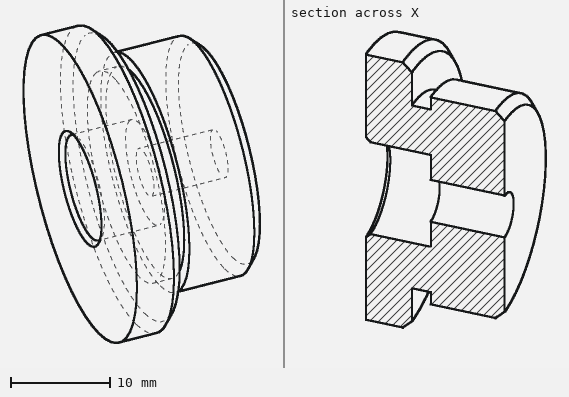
import cadquery as cq

flange_diameter = 32.0
flange_thickness = 5.0
neck_diameter = 22.08
neck_length = 2.0
body_diameter = 25.0
body_length = 8.0
edge_chamfer = 1.0

hole_diameter = 5.0
counterbore_diameter = 11.0
counterbore_depth = 7.0
counterbore_chamfer = 0.5

neck_end = flange_thickness + neck_length
total_length = neck_end + body_length


def cylinder(diameter, start, length):
    """Solid cylinder along +Y, beginning at Y = start."""
    return cq.Workplane("XZ", origin=(0, start, 0)).circle(diameter / 2).extrude(-length)


flange = cylinder(flange_diameter, 0, flange_thickness).faces(">Y").chamfer(edge_chamfer)
neck = cylinder(neck_diameter, flange_thickness, neck_length)
body = cylinder(body_diameter, neck_end, body_length).faces(">Y").chamfer(edge_chamfer)

hole = cylinder(hole_diameter, 0, total_length)
counterbore = cylinder(counterbore_diameter, 0, counterbore_depth)

result = flange.union(neck).union(body).cut(hole).cut(counterbore)
mouth = cq.selectors.RadiusNthSelector(0)
result = result.faces("<Y").edges(mouth).chamfer(counterbore_chamfer)